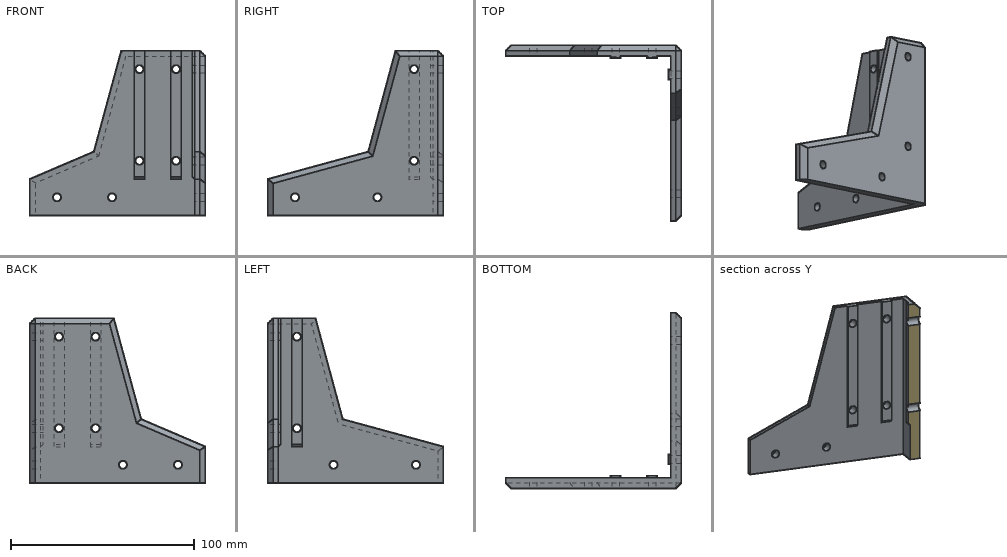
import cadquery as cq

leg_length = 96.0
height = 90.0
wall = 6.0
bevel = 3.1

end_height = 20.0
knee_height = 34.9
back_knee_x = 35.0
back_top_x = 50.0
side_knee_y = leg_length - 41.1
side_top_y = leg_length - 26.2

rib_width = 5.6
rib_rise = 1.2
hole_diameter = 4.2
upper_hole_heights = (30.0, 80.0)
lower_hole_height = 10.0
back_rib_xs = (60.0, 80.0)
side_rib_ys = (leg_length - 16.0,)
back_lower_hole_xs = (15.0, 45.0)
side_lower_hole_ys = (leg_length - 81.0, leg_length - 36.0)

inner_face = leg_length - wall


def wall_plate(plane, knee, top_start):
    """Stepped wall, extruded from the plane by the wall thickness."""
    outline = [
        (0, 0),
        (leg_length, 0),
        (leg_length, height),
        (top_start, height),
        (knee, knee_height),
        (0, end_height),
    ]
    return plane.polyline(outline).close().extrude(wall)


def bevel_outer_edges(body):
    """Bevel every edge of the two outer faces except those on the base."""
    edges = body.faces(">X or >Y").edges().vals()
    raised = [edge for edge in edges if edge.Center().z > bevel]
    return body.newObject(raised).chamfer(bevel)


def rib(plane):
    """Upright rib with a sloped foot, drawn as its profile and centred on the plane."""
    profile = [
        (0, end_height),
        (-rib_rise, end_height + rib_rise),
        (-rib_rise, height),
        (0, height),
    ]
    return plane.polyline(profile).close().extrude(rib_width / 2, both=True)


def holes(plane, rib_places, lower_places):
    """Screw hole cutters reaching from inside the ribs through the wall."""
    points = [(place, z) for place in rib_places for z in upper_hole_heights]
    points += [(place, lower_hole_height) for place in lower_places]
    return plane.pushPoints(points).circle(hole_diameter / 2).extrude(wall + 2 * rib_rise)


def back_plane(y):
    return cq.Workplane(cq.Plane((0, y, 0), (1, 0, 0), (0, -1, 0)))


def side_plane(x):
    return cq.Workplane(cq.Plane((x, 0, 0), (0, 1, 0), (1, 0, 0)))


back_wall = wall_plate(back_plane(leg_length), back_knee_x, back_top_x)
side_wall = wall_plate(side_plane(inner_face), side_knee_y, side_top_y)
result = bevel_outer_edges(back_wall.union(side_wall))

for x in back_rib_xs:
    result = result.union(rib(side_plane(x).center(inner_face, 0)))
for y in side_rib_ys:
    result = result.union(rib(back_plane(y).center(inner_face, 0)))

result = result.cut(holes(back_plane(leg_length), back_rib_xs, back_lower_hole_xs))
result = result.cut(holes(side_plane(inner_face - 2 * rib_rise), side_rib_ys, side_lower_hole_ys))